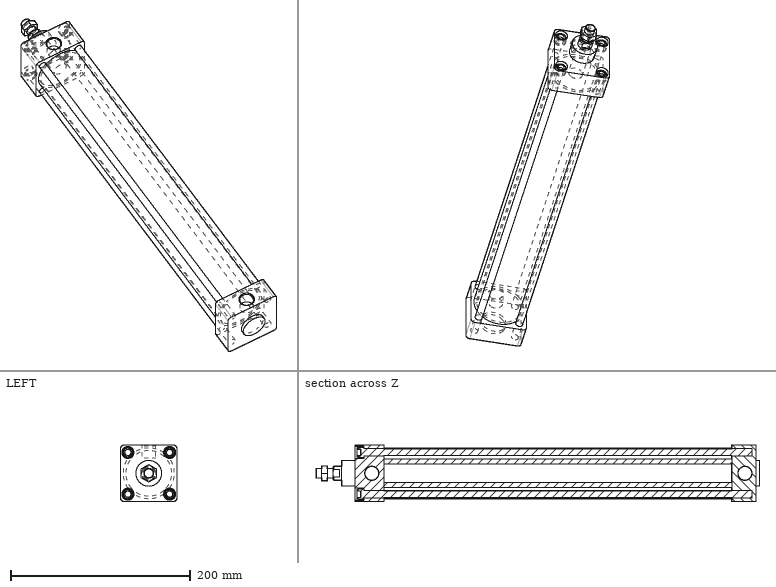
import cadquery as cq
import math

OVERALL_LENGTH = 495.5
FRONT_HEAD_START = 43.5
FRONT_HEAD_LENGTH = 32.5
REAR_HEAD_LENGTH = 27.0
BUSH_LENGTH = 15.0
REAR_BOSS_LENGTH = 4.0

FRONT_HEAD_END = FRONT_HEAD_START + FRONT_HEAD_LENGTH
REAR_HEAD_END = OVERALL_LENGTH - REAR_BOSS_LENGTH
REAR_HEAD_START = REAR_HEAD_END - REAR_HEAD_LENGTH
BUSH_START = FRONT_HEAD_START - BUSH_LENGTH

HEAD_SIDE = 63.5
HEAD_CORNER_RADIUS = 4.5
BOSS_DIAMETER = 28.5
PORT_DIAMETER = 15.5
PORT_CHAMFER = 1.0
PORT_DEPTH = 15.0
FRONT_PORT_X = 62.5
REAR_PORT_X = 479.0

BARREL_DIAMETER = 57.0
BORE_DIAMETER = 51.0

TIE_ROD_OFFSET = 23.5
TIE_ROD_DIAMETER = 8.0
SCREW_HEAD_DIAMETER = 12.0
SCREW_HEAD_LENGTH = 7.5
SOCKET_DIAMETER = 7.0
SOCKET_DEPTH = 4.0
SCREW_CHAMFER = 1.0
COUNTERBORE_DIAMETER = 13.5
COUNTERBORE_DEPTH = 10.0
TIE_ROD_END_COVER = 5.0
TIE_ROD_END = REAR_HEAD_END - TIE_ROD_END_COVER

ROD_DIAMETER = 16.0
ROD_SHOULDER_X = 19.0
ROD_CHAMFER = 1.25
THREAD_DIAMETER = 11.0
THREAD_CHAMFER = 0.5
FLATS_WIDTH = 13.5
FLATS_LENGTH = 7.5

NUT_START = 6.5
NUT_THICKNESS = 6.5
NUT_ACROSS_FLATS = 17.0


def rod_along_x(diameter, start, end, y=0.0, z=0.0):
    """Round bar parallel to X between two stations."""
    return (
        cq.Workplane("YZ", origin=(start, y, z))
        .circle(diameter / 2)
        .extrude(end - start)
    )


def tie_rod_positions():
    """(Y, Z) centres of the four tie rods."""
    return [(sy * TIE_ROD_OFFSET, sz * TIE_ROD_OFFSET) for sy in (-1, 1) for sz in (-1, 1)]


def make_head_block(start, length):
    """Square block with its four long corners rounded."""
    return (
        cq.Workplane("YZ", origin=(start, 0, 0))
        .rect(HEAD_SIDE, HEAD_SIDE)
        .extrude(length)
        .edges("|X")
        .fillet(HEAD_CORNER_RADIUS)
    )


def make_port(x):
    """Cutter for a blind round port with a chamfered rim, entering from the top face."""
    radius = PORT_DIAMETER / 2
    top = HEAD_SIDE / 2
    bottom = top - PORT_DEPTH
    half_profile = [
        (0, bottom),
        (radius, bottom),
        (radius, top - PORT_CHAMFER),
        (radius + PORT_CHAMFER, top),
        (0, top),
    ]
    port = cq.Workplane("XZ").polyline(half_profile).close().revolve(360, (0, 0), (0, 1))
    return port.translate((x, 0, 0))


def make_front_head():
    """Head with the rod bush, a port and counterbored tie rod holes."""
    head = make_head_block(FRONT_HEAD_START, FRONT_HEAD_LENGTH)
    head = head.union(rod_along_x(BOSS_DIAMETER, BUSH_START, FRONT_HEAD_START))
    head = head.cut(rod_along_x(ROD_DIAMETER, BUSH_START, FRONT_HEAD_END))
    head = head.cut(make_port(FRONT_PORT_X))
    seat_x = FRONT_HEAD_START + COUNTERBORE_DEPTH
    for y, z in tie_rod_positions():
        head = head.cut(rod_along_x(COUNTERBORE_DIAMETER, FRONT_HEAD_START, seat_x, y, z))
        head = head.cut(rod_along_x(TIE_ROD_DIAMETER, seat_x, FRONT_HEAD_END, y, z))
    return head


def make_rear_head():
    """Head with a plain boss, a port and blind tie rod holes."""
    head = make_head_block(REAR_HEAD_START, REAR_HEAD_LENGTH)
    head = head.union(rod_along_x(BOSS_DIAMETER, REAR_HEAD_END, OVERALL_LENGTH))
    head = head.cut(make_port(REAR_PORT_X))
    for y, z in tie_rod_positions():
        head = head.cut(rod_along_x(TIE_ROD_DIAMETER, REAR_HEAD_START, TIE_ROD_END, y, z))
    return head


def make_barrel():
    """Tube between the two heads."""
    barrel = rod_along_x(BARREL_DIAMETER, FRONT_HEAD_END, REAR_HEAD_START)
    return barrel.cut(rod_along_x(BORE_DIAMETER, FRONT_HEAD_END, REAR_HEAD_START))


def make_tie_rod(y, z):
    """Long screw with a chamfered round head and a round socket."""
    seat_x = FRONT_HEAD_START + COUNTERBORE_DEPTH
    head_x = seat_x - SCREW_HEAD_LENGTH
    rod = rod_along_x(TIE_ROD_DIAMETER, seat_x, TIE_ROD_END, y, z)
    rod = rod.union(rod_along_x(SCREW_HEAD_DIAMETER, head_x, seat_x, y, z))
    rod = rod.faces("<X").chamfer(SCREW_CHAMFER)
    return rod.cut(rod_along_x(SOCKET_DIAMETER, head_x, head_x + SOCKET_DEPTH, y, z))


def make_piston_rod():
    """Threaded end and shank, with two wrench flats facing up and down."""
    thread = rod_along_x(THREAD_DIAMETER, 0, ROD_SHOULDER_X).faces("<X").chamfer(THREAD_CHAMFER)
    shank = rod_along_x(ROD_DIAMETER, ROD_SHOULDER_X, FRONT_HEAD_END).faces("<X").chamfer(ROD_CHAMFER)
    flat_centre_x = ROD_SHOULDER_X + FLATS_LENGTH / 2
    flat_centre_z = (FLATS_WIDTH + ROD_DIAMETER) / 2
    flat_cutter = cq.Workplane("XY").box(FLATS_LENGTH, ROD_DIAMETER, ROD_DIAMETER)
    for side in (-1, 1):
        shank = shank.cut(flat_cutter.translate((flat_centre_x, 0, side * flat_centre_z)))
    return thread.union(shank)


def make_rod_nut():
    """Hexagon nut with two corners pointing up and down."""
    across_corners = NUT_ACROSS_FLATS / math.cos(math.pi / 6)
    nut = (
        cq.Workplane("YZ", origin=(NUT_START, 0, 0))
        .transformed(rotate=(0, 0, 90))
        .polygon(6, across_corners)
        .extrude(NUT_THICKNESS)
    )
    return nut.cut(rod_along_x(THREAD_DIAMETER, NUT_START, NUT_START + NUT_THICKNESS))


front_head = make_front_head()
rear_head = make_rear_head()
barrel = make_barrel()
piston_rod = make_piston_rod()
rod_nut = make_rod_nut()
tie_rods = [make_tie_rod(y, z) for y, z in tie_rod_positions()]

result = cq.Compound.makeCompound(
    [
        front_head.val(),
        rear_head.val(),
        barrel.val(),
        piston_rod.val(),
        rod_nut.val(),
        *[tie_rod.val() for tie_rod in tie_rods],
    ]
)